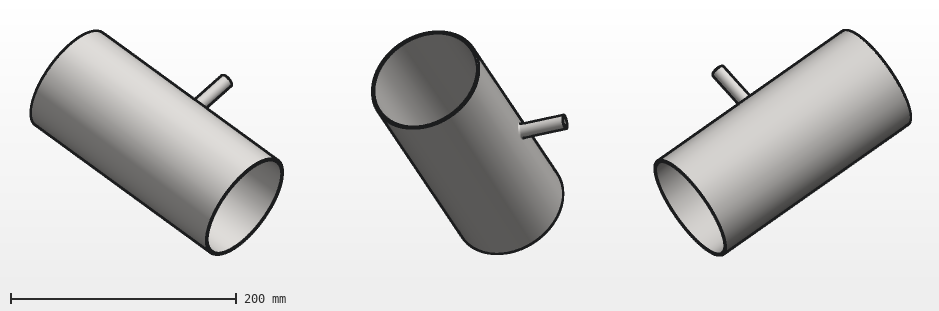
import cadquery as cq

tube_length = 209.5
tube_diameter = 101.6
tube_bore = 97.5

overall_depth = 143.0
branch_diameter = 12.8
branch_bore = 9.5
branch_end = overall_depth - tube_diameter / 2

seam_fillet = 1.57


def tube_cylinder(diameter):
    """Cylinder along X, as long as the main tube."""
    return cq.Workplane("YZ").circle(diameter / 2).extrude(tube_length / 2, both=True)


def branch_cylinder(diameter):
    """Cylinder along Y, from the main tube's axis out to the branch end."""
    return cq.Workplane("XZ").circle(diameter / 2).extrude(-branch_end)


def round_seam(body):
    """Fillet the seam, the only edge centred near where the branch axis leaves the tube."""
    seam_centre = (0, tube_diameter / 2, 0)
    seam = cq.selectors.NearestToPointSelector(seam_centre)
    return body.edges(seam).fillet(seam_fillet)


outside = round_seam(tube_cylinder(tube_diameter).union(branch_cylinder(branch_diameter)))

result = outside.cut(tube_cylinder(tube_bore)).cut(branch_cylinder(branch_bore))